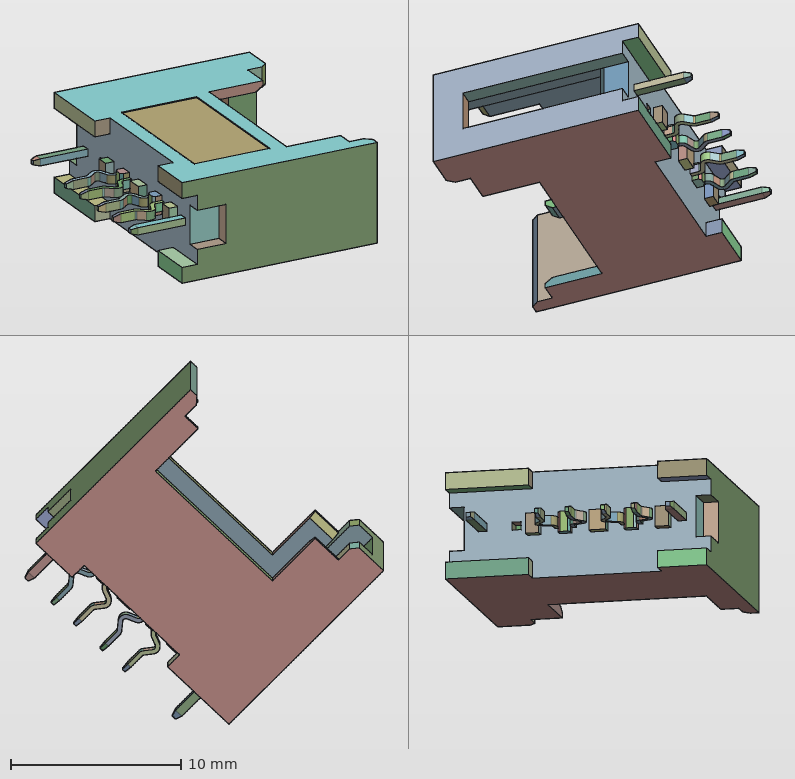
import cadquery as cq

WIDTH = 15.8
HEIGHT = 6.4
BODY_DEPTH = 13.04
PIN_LENGTH = 2.56
LEFT = -WIDTH / 2
RIGHT = WIDTH / 2

SKIN = 0.9
KEY_WALL = 2.35
MOUTH_Y = 11.65
NOTCH_Y = 8.05
NOTCH_LEFT = -3.65
NOTCH_RIGHT = 5.92
TIP_CHAMFER_X = 0.36
TIP_CHAMFER_Y = 0.45

BASE_Y = 1.01
FOOT_HEIGHT = 1.01
LEFT_FOOT_END = -2.88
RIGHT_FOOT_END = 4.93

BASE_BACK_Y = 2.94
PLATE = 0.63
CAVITY_HEIGHT = HEIGHT - 2 * PLATE
LEAD_IN_Y = 0.46
LEAD_IN_Z = 0.32
BASE_CHAMFER = 0.38
KEYWAY_HEIGHT = 3.79
LEDGE = 0.43
LEDGE_END_Y = 7.11

WINDOW_HEIGHT = 2.6
WINDOW_END_Y = 11.15
SLOT_HEIGHT = 2.48

PANEL_LEFT = -3.33
PANEL_RIGHT = 5.69
PANEL_FRONT_Y = 2.02
PANEL_BACK_Y = 7.05
PANEL_DEPTH = 0.06

STANDOFF_REACH = 0.57
STANDOFF_HEIGHT = 1.22
STANDOFFS = [(-3.16, -2.37), (0.66, 1.67), (4.66, 5.48)]

PAIR_CENTRES = [-0.85, 3.15]
POST_WIDTH = 0.76
POST_CHAMFER = 0.16
STRIP = 0.27
STRIP_HEIGHT = 0.57
BEND_RADIUS = 0.32
TAIL_OFFSET = 0.92
ELBOW_OFFSET = 1.6
SHOULDER_Y = 0.27
ELBOW_Y = -0.17
KNEE_Y = -1.03
CONTACT_TIP = 0.47
CONTACT_TIP_WIDTH = 0.22
CONTACT_TIP_HEIGHT = 0.28

PIN_CENTRES = [-5.88, 6.18]
PIN_WIDTH = 0.52
PIN_HEIGHT = 0.46
PIN_TAPER = 0.41
PIN_END = 0.27

HOLE_X = -3.84
HOLE_WIDTH = 0.55
HOLE_HEIGHT = 0.47
HOLE_DEPTH = 0.95

EMBED = 0.32


def block(x0, x1, y0, y1, height):
    """Box between X and Y limits, centred on Z = 0."""
    return cq.Workplane("XY").box(x1 - x0, y1 - y0, height).translate(
        ((x0 + x1) / 2, (y0 + y1) / 2, 0)
    )


def prism(points, height):
    """Closed XY outline extruded symmetrically about Z = 0."""
    return cq.Workplane("XY").polyline(points).close().extrude(height / 2, both=True)


def make_shell():
    left_tip = LEFT + KEY_WALL
    right_tip = RIGHT - SKIN
    chamfer_y = BODY_DEPTH - TIP_CHAMFER_Y
    shell = prism(
        [
            (LEFT, 0),
            (LEFT_FOOT_END, 0),
            (LEFT_FOOT_END, BASE_Y),
            (RIGHT_FOOT_END, BASE_Y),
            (RIGHT_FOOT_END, 0),
            (RIGHT, 0),
            (RIGHT, BODY_DEPTH),
            (right_tip + TIP_CHAMFER_X, BODY_DEPTH),
            (right_tip, chamfer_y),
            (right_tip, MOUTH_Y),
            (NOTCH_RIGHT, MOUTH_Y),
            (NOTCH_RIGHT, NOTCH_Y),
            (NOTCH_LEFT, NOTCH_Y),
            (NOTCH_LEFT, MOUTH_Y),
            (left_tip, MOUTH_Y),
            (left_tip, chamfer_y),
            (left_tip - TIP_CHAMFER_X, BODY_DEPTH),
            (LEFT, BODY_DEPTH),
        ],
        HEIGHT,
    )
    return shell.cut(block(LEFT, RIGHT, 0, BASE_Y, HEIGHT - 2 * FOOT_HEIGHT))


def make_cavity():
    """Plug space with its flared mouth, less the ledge on the right wall."""
    left = LEFT + KEY_WALL
    right = RIGHT - SKIN
    half = CAVITY_HEIGHT / 2
    flare_y = MOUTH_Y - LEAD_IN_Y
    half_profile = [
        (BASE_BACK_Y, half),
        (flare_y, half),
        (MOUTH_Y, half + LEAD_IN_Z),
    ]
    lower_profile = [(y, -z) for y, z in reversed(half_profile)]
    cavity = (
        cq.Workplane("YZ", origin=(left, 0, 0))
        .polyline(half_profile + lower_profile)
        .close()
        .extrude(right - left)
    )
    ledge = prism(
        [
            (right, BASE_BACK_Y),
            (right - LEDGE, BASE_BACK_Y),
            (right - LEDGE, LEDGE_END_Y - LEDGE),
            (right, LEDGE_END_Y),
        ],
        CAVITY_HEIGHT,
    )
    return cavity.cut(ledge)


def make_keyway():
    """Groove in the left wall, with the base corner behind it bevelled."""
    inner = LEFT + SKIN
    return prism(
        [
            (inner, BASE_BACK_Y - BASE_CHAMFER),
            (inner + BASE_CHAMFER, BASE_BACK_Y),
            (LEFT + KEY_WALL, BASE_BACK_Y),
            (LEFT + KEY_WALL, BODY_DEPTH),
            (inner, BODY_DEPTH),
        ],
        KEYWAY_HEIGHT,
    )


def make_contact(centre, side):
    """Bent strip on one side (+1 or -1) of the pair centre, with a tapered tip."""
    shoulder_x = centre + side * (POST_WIDTH + STRIP) / 2
    elbow_x = centre + side * ELBOW_OFFSET
    tail_x = centre + side * TAIL_OFFSET
    tip_start_y = CONTACT_TIP - PIN_LENGTH
    bends = cq.Wire.makePolygon(
        [
            cq.Vector(shoulder_x, BASE_Y + EMBED, 0),
            cq.Vector(shoulder_x, SHOULDER_Y, 0),
            cq.Vector(elbow_x, ELBOW_Y, 0),
            cq.Vector(tail_x, KNEE_Y, 0),
            cq.Vector(tail_x, tip_start_y, 0),
        ]
    )
    path = bends.fillet(BEND_RADIUS)
    strip = (
        cq.Workplane("XZ", origin=(shoulder_x, BASE_Y + EMBED, 0))
        .rect(STRIP, STRIP_HEIGHT)
        .sweep(cq.Workplane(obj=path))
    )
    tip = (
        cq.Workplane("XZ", origin=(tail_x, tip_start_y, 0))
        .rect(STRIP, STRIP_HEIGHT)
        .workplane(offset=CONTACT_TIP)
        .rect(CONTACT_TIP_WIDTH, CONTACT_TIP_HEIGHT)
        .loft(ruled=True)
    )
    return strip.union(tip)


def make_post(centre):
    """Post between the two strips of a pair, with bevelled outer corners."""
    post = block(
        centre - POST_WIDTH / 2,
        centre + POST_WIDTH / 2,
        BASE_Y - STANDOFF_REACH,
        BASE_Y + EMBED,
        STANDOFF_HEIGHT,
    )
    return post.faces("<Y").edges("|Z").chamfer(POST_CHAMFER)


def make_pin(centre):
    """Rectangular fixing pin with a tapered end."""
    taper_y = PIN_TAPER - PIN_LENGTH
    shank = block(centre - PIN_WIDTH / 2, centre + PIN_WIDTH / 2, taper_y, BASE_Y + EMBED, PIN_HEIGHT)
    end = (
        cq.Workplane("XZ", origin=(centre, taper_y, 0))
        .rect(PIN_WIDTH, PIN_HEIGHT)
        .workplane(offset=PIN_TAPER)
        .rect(PIN_END, PIN_END)
        .loft(ruled=True)
    )
    return shank.union(end)


result = make_shell().cut(make_cavity()).cut(make_keyway())

result = result.cut(block(LEFT, LEFT + SKIN, BASE_Y, WINDOW_END_Y, WINDOW_HEIGHT))
result = result.cut(block(RIGHT - SKIN, RIGHT, BASE_Y, BASE_BACK_Y, SLOT_HEIGHT))

panel = block(PANEL_LEFT, PANEL_RIGHT, PANEL_FRONT_Y, PANEL_BACK_Y, 2 * PANEL_DEPTH)
result = result.cut(panel.translate((0, 0, HEIGHT / 2)))

result = result.cut(
    block(HOLE_X - HOLE_WIDTH / 2, HOLE_X + HOLE_WIDTH / 2, BASE_Y, BASE_Y + HOLE_DEPTH, HOLE_HEIGHT)
)

for start, end in STANDOFFS:
    result = result.union(block(start, end, BASE_Y - STANDOFF_REACH, BASE_Y + EMBED, STANDOFF_HEIGHT))

for pair_centre in PAIR_CENTRES:
    result = result.union(make_post(pair_centre))
    for direction in (-1, 1):
        result = result.union(make_contact(pair_centre, direction))

for pin_centre in PIN_CENTRES:
    result = result.union(make_pin(pin_centre))